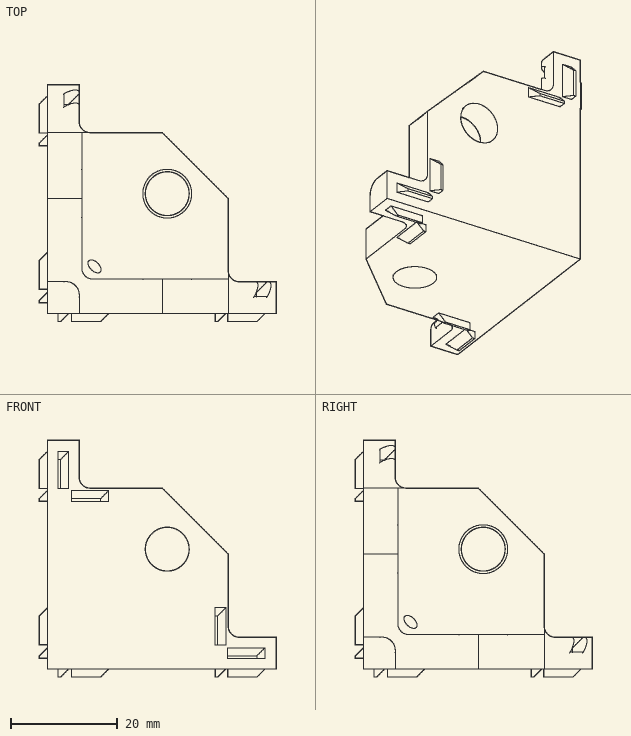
import cadquery as cq
import math

overall = 44.5
lug_height = 1.5
arm_end = overall - lug_height
wall_end = 34.0
bevel_start = 21.6
wall_thickness = 6.5
inner_fillet = 2.0

gusset_leg = 7.1
screw_hole_diameter = 3.0
screw_hole_depth = 4.45

wall_hole_diameter = 8.2
wall_hole_center = 22.5
wall_hole_chamfer = 0.5

arm_width = 6.0
arm_round = 2.5
arm_base_fillet = 2.0

slot_width = 4.0
slot_thickness = 2.0
slot_center = 40.75
slot_depth = 4.0

lug_length = 7.0
lug_width = 2.0
lug_slope = lug_height
arm_lug_start = 33.85
arm_lug_offset = 2.0
wall_lug_start = 4.55
wall_lug_offset = 31.5

DIAGONAL = (1, 1, 1)
OVERLAP = 0.45
MARGIN = 0.05


def around_diagonal(shape):
    """The shape repeated three times about the (1, 1, 1) axis through the corner."""
    return [shape.rotate((0, 0, 0), DIAGONAL, turn) for turn in (0, 120, 240)]


def make_wall():
    """Flat wall lying on the XY plane with one bevelled corner."""
    return (
        cq.Workplane("XY")
        .polyline([
            (0, 0),
            (wall_end, 0),
            (wall_end, bevel_start),
            (bevel_start, wall_end),
            (0, wall_end),
        ])
        .close()
        .extrude(wall_thickness)
    )


def make_gusset():
    """Tetrahedron that fills the inner corner up to a plane facing (1, 1, 1)."""
    reach = 3 * wall_thickness + gusset_leg
    corner = (0, 0, 0)
    tip_x = (reach, 0, 0)
    tip_y = (0, reach, 0)
    tip_z = (0, 0, reach)
    triangles = [
        (corner, tip_x, tip_y),
        (corner, tip_y, tip_z),
        (corner, tip_z, tip_x),
        (tip_x, tip_y, tip_z),
    ]
    faces = []
    for triangle in triangles:
        outline = cq.Wire.makePolygon([cq.Vector(*point) for point in triangle], close=True)
        faces.append(cq.Face.makeFromWires(outline))
    return cq.Workplane(cq.Solid.makeSolid(cq.Shell.makeShell(faces)))


def make_arm():
    """Square arm along X whose inner edge is rounded."""
    return (
        cq.Workplane("XY")
        .box(arm_end, arm_width, arm_width, centered=False)
        .edges("|X and >Y and >Z")
        .fillet(arm_round)
    )


def make_lug(start, offset):
    """Lug under the XY plane, long in X, sloped on its +Y side and its +X end."""
    end = start + lug_length
    side = offset + lug_width
    lug = cq.Workplane("XY").box(lug_length, lug_width, lug_height + OVERLAP, centered=False)
    lug = lug.translate((start, offset, -lug_height))
    end_slope = (
        cq.Workplane("XZ", origin=(0, side, 0))
        .polyline([(end, 0), (end, -lug_height), (end - lug_slope, -lug_height)])
        .close()
        .extrude(lug_width)
    )
    side_slope = (
        cq.Workplane("YZ", origin=(start, 0, 0))
        .polyline([(side, 0), (side, -lug_height), (side - lug_slope, -lug_height)])
        .close()
        .extrude(lug_length)
    )
    return lug.cut(end_slope).cut(side_slope)


def make_wall_lugs():
    """The four lugs of one outer face: two, and their mirror images about the line X = Y."""
    lugs = [
        make_lug(arm_lug_start, arm_lug_offset),
        make_lug(wall_lug_start, wall_lug_offset),
    ]
    return lugs + [lug.mirror(cq.Vector(1, -1, 0)) for lug in lugs]


def make_wall_hole():
    """Through hole of the XY wall with a chamfered inner rim."""
    radius = wall_hole_diameter / 2
    return (
        cq.Workplane("XZ")
        .polyline([
            (0, -OVERLAP),
            (radius, -OVERLAP),
            (radius, wall_thickness - wall_hole_chamfer),
            (radius + wall_hole_chamfer, wall_thickness),
            (0, wall_thickness),
        ])
        .close()
        .revolve(360, (0, 0, 0), (0, 1, 0))
        .translate((wall_hole_center, wall_hole_center, 0))
    )


def make_arm_slot():
    """Blind slot entering the rounded edge of the X arm."""
    mouth = arm_width - arm_round * (1 - math.sqrt(0.5))
    plane = cq.Plane(origin=(slot_center, mouth, mouth), xDir=(0, 1, -1), normal=DIAGONAL)
    return cq.Workplane(plane).box(slot_width, slot_thickness, 2 * slot_depth)


def make_screw_hole():
    """Blind hole square to the gusset face."""
    center = wall_thickness + gusset_leg / 3
    plane = cq.Plane(origin=(center, center, center), normal=DIAGONAL)
    return cq.Workplane(plane).circle(screw_hole_diameter / 2).extrude(-screw_hole_depth)


def fillet_inner_edges(shape):
    """Round the edges where the walls meet each other and the gusset."""
    near = wall_thickness - MARGIN
    far = (bevel_start + wall_end) / 2 - OVERLAP
    inner_edges = cq.selectors.BoxSelector((near, near, near), (far, far, far))
    return shape.edges(inner_edges).fillet(inner_fillet)


def fillet_arm_bases(shape):
    """Round the edges where each arm leaves the ends of the walls."""
    for axis in range(3):
        low = [MARGIN] * 3
        high = [arm_width + MARGIN] * 3
        low[axis] = wall_end - MARGIN
        high[axis] = wall_end + MARGIN
        shape = shape.edges(cq.selectors.BoxSelector(low, high)).fillet(arm_base_fillet)
    return shape


body = make_gusset()
for wall in around_diagonal(make_wall()):
    body = body.union(wall)
body = fillet_inner_edges(body)

for arm in around_diagonal(make_arm()):
    body = body.union(arm)
body = fillet_arm_bases(body)

for wall_hole in around_diagonal(make_wall_hole()):
    body = body.cut(wall_hole)
for arm_slot in around_diagonal(make_arm_slot()):
    body = body.cut(arm_slot)
body = body.cut(make_screw_hole())

for lug in make_wall_lugs():
    for placed_lug in around_diagonal(lug):
        body = body.union(placed_lug)

result = body